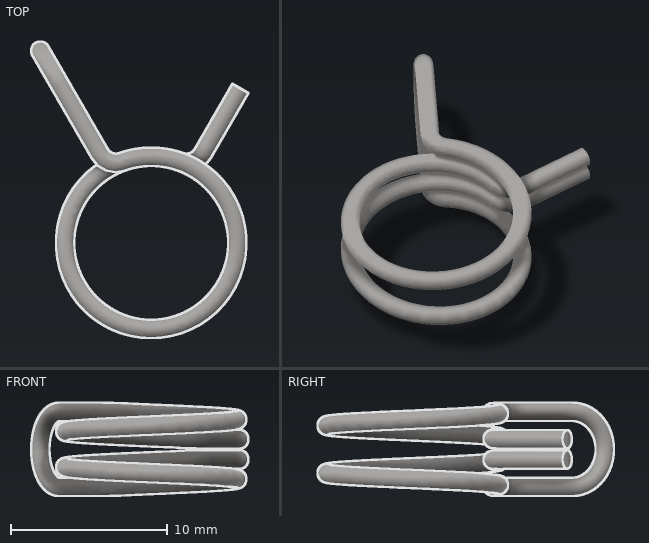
import cadquery as cq
import math

wire_diameter = 1.2
coil_radius = 5.5
bend_radius = 1.2
loop_leg_angle = 120.0
free_leg_angle = 60.0
free_end_distance = 11.41
loop_tip_distance = 14.19
overall_height = 6.0
free_leg_gap = 0.1

loop_leg_z = (overall_height - wire_diameter) / 2
free_leg_z = (free_leg_gap + wire_diameter) / 2

loop_radius = loop_leg_z
loop_start_distance = loop_tip_distance - loop_radius

bend_centre_distance = coil_radius + bend_radius
bend_offset = math.asin(bend_radius / bend_centre_distance)
bend_turn = math.pi / 2 - bend_offset
leg_start_distance = bend_centre_distance * math.cos(bend_offset)

coil_start_angle = math.radians(free_leg_angle) + bend_offset
coil_end_angle = math.radians(loop_leg_angle) - bend_offset + 2 * math.pi
coil_turn = coil_end_angle - coil_start_angle

coil_length = coil_radius * coil_turn
bend_length = bend_radius * bend_turn
coil_slope = (loop_leg_z - free_leg_z) / (coil_length + bend_length)
coil_rise = coil_slope * coil_length
bend_rise = coil_slope * bend_length / 2
coil_pitch = coil_slope * coil_radius * 2 * math.pi


def polar(distance, angle, z=0.0):
    """Point at a distance from the coil axis, in a direction given in radians."""
    return cq.Vector(distance * math.cos(angle), distance * math.sin(angle), z)


def straight_leg(angle_degrees, outer_distance, z):
    angle = math.radians(angle_degrees)
    return cq.Edge.makeLine(polar(outer_distance, angle, z), polar(leg_start_distance, angle, z))


def bend(coil_angle, leg_angle_degrees, coil_z, leg_z, side):
    """Bend from the coil out to a leg; side is +1 where the coil runs counterclockwise into it."""
    leg_angle = math.radians(leg_angle_degrees)
    coil_point = polar(coil_radius, coil_angle, coil_z)
    leg_point = polar(leg_start_distance, leg_angle, leg_z)

    centre = polar(bend_centre_distance, coil_angle)
    middle_angle = coil_angle + math.pi - side * bend_turn / 2
    middle_z = leg_z + (coil_z - leg_z) / 4
    middle_point = centre + polar(bend_radius, middle_angle, middle_z)

    coil_tangent = polar(1, coil_angle + side * math.pi / 2, side * coil_slope)
    leg_tangent = polar(1, leg_angle)
    return cq.Edge.makeSpline([coil_point, middle_point, leg_point], [coil_tangent, leg_tangent])


def coil(start_z):
    helix = cq.Wire.makeHelix(coil_pitch, coil_rise, coil_radius).Edges()[0]
    turned = helix.rotate(cq.Vector(0, 0, 0), cq.Vector(0, 0, 1), math.degrees(coil_start_angle))
    return turned.translate(cq.Vector(0, 0, start_z))


def half_loop():
    """Quarter circle from the loop leg down to the loop tip at Z = 0."""
    angle = math.radians(loop_leg_angle)
    diagonal = loop_radius * math.sqrt(0.5)
    return cq.Edge.makeThreePointArc(
        polar(loop_start_distance, angle, loop_leg_z),
        polar(loop_start_distance + diagonal, angle, diagonal),
        polar(loop_tip_distance, angle),
    )


coil_start_z = free_leg_z + bend_rise
coil_end_z = loop_leg_z - bend_rise
centre_line = cq.Wire.assembleEdges([
    straight_leg(free_leg_angle, free_end_distance, free_leg_z),
    bend(coil_start_angle, free_leg_angle, coil_start_z, free_leg_z, -1),
    coil(coil_start_z),
    bend(coil_end_angle, loop_leg_angle, coil_end_z, loop_leg_z, 1),
    straight_leg(loop_leg_angle, loop_start_distance, loop_leg_z),
    half_loop(),
])

free_direction = math.radians(free_leg_angle)
cut_end = cq.Plane(
    origin=polar(free_end_distance, free_direction, free_leg_z),
    xDir=(0, 0, 1),
    normal=polar(-1, free_direction),
)
upper_half = cq.Workplane(cut_end).circle(wire_diameter / 2).sweep(centre_line)

result = upper_half.union(upper_half.mirror("XY"))